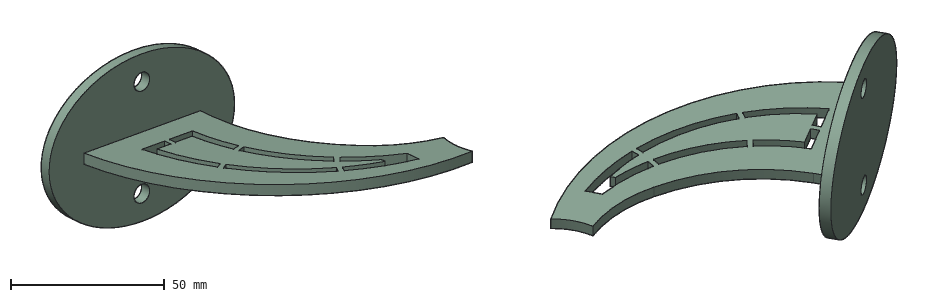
import cadquery as cq

plate_thickness = 4.0
plate_length = 80.1
plate_height = 60.0
hole_diameter = 6.7
hole_spacing = 40.0

arm_thickness = 4.0
arm_tip_y = 71.2
arm_tip_left = 71.6
arm_tip_right = 85.8
tip_hollow_depth = 1.1
arm_root_bottom = -24.9
arm_root_top = 25.2
outer_edge_middle = (59.0, 1.2)

straight_end_x = 10.0
inner_lower_middle = (38.9, 32.4)
inner_joint = (57.9, 46.0)
inner_upper_middle = (66.6, 57.4)

window_left = 14.1
window_right_y = 54.0
window_top_arc = [(window_left, 13.0), (47.1, 23.8), (73.2, window_right_y)]
window_bottom_arc = [(window_left, -8.8), (56.9, 13.0), (79.0, window_right_y)]

window_gap = 3.0
insert_left = window_left + window_gap
insert_tip_y = 44.6
insert_top_arc = [(insert_left, 10.2), (48.7, 21.0), (71.4, insert_tip_y)]
insert_bottom_arc = [(insert_left, -5.0), (55.0, 15.0), (73.2, insert_tip_y)]

bridge_width = 2.0
bridge_overlap = 0.6
bridge_length = window_gap + 2 * bridge_overlap
bridges = [
    (window_left + window_gap / 2, 2.0, 0),
    (34.0, 15.6, -71),
    (61.5, 33.9, -39),
    (40.8, 2.3, -58),
    (68.4, 29.5, -29),
]


def make_plate():
    return (
        cq.Workplane("YZ")
        .ellipse(plate_length / 2, plate_height / 2)
        .extrude(plate_thickness)
    )


def make_screw_holes():
    return (
        cq.Workplane("YZ")
        .pushPoints([(0, -hole_spacing / 2), (0, hole_spacing / 2)])
        .circle(hole_diameter / 2)
        .extrude(plate_thickness)
    )


def blade_plane():
    """Sketch plane on the underside of the arm, so the arm is centred on Z = 0."""
    return cq.Workplane("XY", origin=(0, 0, -arm_thickness / 2))


def make_arm():
    tip_middle = ((arm_tip_left + arm_tip_right) / 2, arm_tip_y - tip_hollow_depth)
    return (
        blade_plane()
        .moveTo(plate_thickness, arm_root_bottom)
        .threePointArc(outer_edge_middle, (arm_tip_right, arm_tip_y))
        .threePointArc(tip_middle, (arm_tip_left, arm_tip_y))
        .threePointArc(inner_upper_middle, inner_joint)
        .threePointArc(inner_lower_middle, (straight_end_x, arm_root_top))
        .lineTo(plate_thickness, arm_root_top)
        .close()
        .extrude(arm_thickness)
    )


def make_horn(top_arc, bottom_arc):
    """Blade-thick shape between two arcs, closed by a straight edge at each end."""
    top_left, top_middle, top_right = top_arc
    bottom_left, bottom_middle, bottom_right = bottom_arc
    return (
        blade_plane()
        .moveTo(*bottom_left)
        .threePointArc(bottom_middle, bottom_right)
        .lineTo(*top_right)
        .threePointArc(top_middle, top_left)
        .close()
        .extrude(arm_thickness)
    )


def make_bridge(x, y, angle):
    return (
        cq.Workplane("XY")
        .box(bridge_length, bridge_width, arm_thickness)
        .rotate((0, 0, 0), (0, 0, 1), angle)
        .translate((x, y, 0))
    )


def make_slots():
    """The open part of the window, around the insert and between the bridges."""
    slots = make_horn(window_top_arc, window_bottom_arc)
    slots = slots.cut(make_horn(insert_top_arc, insert_bottom_arc))
    for x, y, angle in bridges:
        slots = slots.cut(make_bridge(x, y, angle))
    return slots


plate = make_plate().cut(make_screw_holes())
arm = make_arm().cut(make_slots())
result = plate.union(arm)